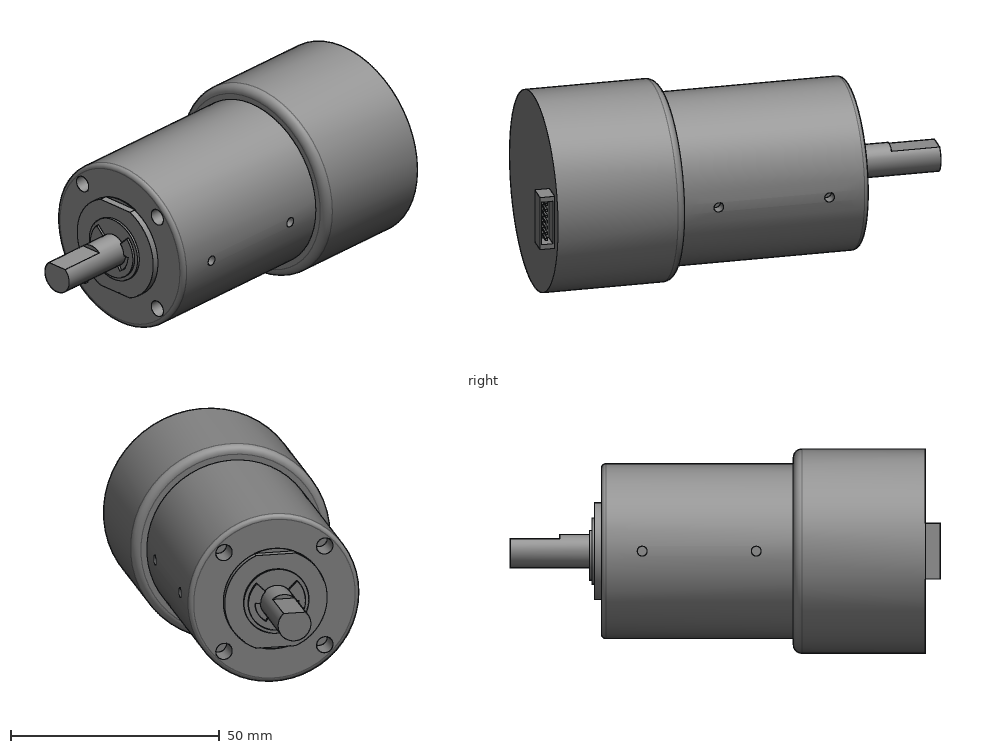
import cadquery as cq
import math


gearbox_diameter = 42.0
gearbox_length = 46.0
gearbox_edge_radius = 1.1
can_diameter = 49.0
can_length = 31.7
can_edge_radius = 2.1
can_back_y = gearbox_length + can_length

boss_diameter = 25.2
boss_across_flats = 23.2
boss_thickness = 1.6
boss_seat_depth = 0.2
washer_diameter = 16.0
washer_thickness = 0.6
clip_diameter = 14.0
clip_thickness = 0.6
clip_relief_diameter = 10.7
clip_mouth_angles = (45, 135)
clip_relief_angles = ((180, 240), (300, 360))

shaft_diameter = 8.0
shaft_length = 21.9
shaft_flat_length = 11.9
shaft_flat_height = 3.0

face_hole_diameter = 4.0
face_hole_spacing = 24.7
face_hole_depth = 6.2
side_hole_diameter = 2.4
side_hole_depth = 3.1
side_hole_front_y = 9.8
side_hole_pitch = 27.3

overall_length = 103.1
connector_depth = overall_length - shaft_length - can_back_y
connector_outer_x = -21.0
connector_width = 5.3
connector_height = 13.4
pocket_wall = 0.4
pocket_height = 10.9
pocket_depth = 4.1
pin_count = 7
pin_row_length = 9.0
pin_pitch = pin_row_length / (pin_count - 1)
pin_size = 0.5
pin_length = 3.5
pin_center_from_can = 1.9


def cylinder(diameter, start_y, length):
    """Cylinder on the Y axis running toward +Y from start_y."""
    base = cq.Workplane("XZ", origin=(0, start_y, 0))
    return base.circle(diameter / 2).extrude(-length)


def box(x_start, x_size, y_center, y_size, z_center, z_size):
    """Box that starts at x_start, centred on the given Y and Z."""
    center = (x_start + x_size / 2, y_center, z_center)
    return cq.Workplane("XY").box(x_size, y_size, z_size).translate(center)


def sector(diameter, start_y, length, start_angle, end_angle):
    """Pie-shaped slice around the Y axis, angles in degrees from +X toward +Z."""
    def rim(angle):
        turn = math.radians(angle)
        return (diameter / 2 * math.cos(turn), diameter / 2 * math.sin(turn))

    middle_angle = (start_angle + end_angle) / 2
    outline = (
        cq.Workplane("XZ", origin=(0, start_y, 0))
        .lineTo(*rim(start_angle))
        .threePointArc(rim(middle_angle), rim(end_angle))
        .close()
    )
    return outline.extrude(-length)


def make_housing():
    gearbox = cylinder(gearbox_diameter, 0, gearbox_length)
    gearbox = gearbox.faces("<Y").edges().fillet(gearbox_edge_radius)
    can = cylinder(can_diameter, gearbox_length, can_length)
    can = can.faces("<Y").edges().fillet(can_edge_radius)
    return gearbox.union(can)


def make_boss():
    """Flat-sided boss reaching down to the floor of its seat."""
    length = boss_thickness + boss_seat_depth
    disc = cylinder(boss_diameter, -boss_thickness, length)
    flats = box(-boss_diameter / 2, boss_diameter, 0, 2 * length, 0, boss_across_flats)
    return disc.intersect(flats)


def make_clip(front_y):
    """E-shaped clip, open at the top and hugging the shaft at three lands."""
    clip = cylinder(clip_diameter, front_y, clip_thickness)
    clip = clip.cut(sector(2 * clip_diameter, front_y, clip_thickness, *clip_mouth_angles))
    for angles in clip_relief_angles:
        clip = clip.cut(sector(clip_relief_diameter, front_y, clip_thickness, *angles))
    return clip


def make_shaft():
    shaft = cylinder(shaft_diameter, -shaft_length, shaft_length)
    above_flat = box(
        -shaft_diameter / 2, shaft_diameter,
        -shaft_length + shaft_flat_length / 2, shaft_flat_length,
        shaft_flat_height + shaft_diameter / 2, shaft_diameter,
    )
    return shaft.cut(above_flat)


def make_face_holes():
    return (
        cq.Workplane("XZ")
        .rect(face_hole_spacing, face_hole_spacing, forConstruction=True)
        .vertices()
        .circle(face_hole_diameter / 2)
        .extrude(-face_hole_depth)
    )


def make_side_holes():
    holes = cq.Workplane("XY")
    for y in (side_hole_front_y, side_hole_front_y + side_hole_pitch):
        for side in (-1, 1):
            start = cq.Workplane("YZ", origin=(side * gearbox_diameter / 2, y, 0))
            holes = holes.add(start.circle(side_hole_diameter / 2).extrude(-side * side_hole_depth))
    return holes.combine()


def make_connector():
    """Plug shell with one row of square pins in its pocket."""
    middle_y = can_back_y + connector_depth / 2
    shell = box(connector_outer_x, connector_width, middle_y, connector_depth, 0, connector_height)
    pocket_y_size = connector_depth - 2 * pocket_wall
    connector = shell.cut(box(connector_outer_x, pocket_depth, middle_y, pocket_y_size, 0, pocket_height))
    pin_x = connector_outer_x + pocket_depth - pin_length
    pin_y = can_back_y + pin_center_from_can
    for index in range(pin_count):
        pin_z = index * pin_pitch - pin_row_length / 2
        connector = connector.union(box(pin_x, pin_length, pin_y, pin_size, pin_z, pin_size))
    return connector


boss_seat = cylinder(boss_diameter, 0, boss_seat_depth)
washer_front_y = -boss_thickness - washer_thickness
washer = cylinder(washer_diameter, washer_front_y, washer_thickness)

result = make_housing().cut(boss_seat).cut(make_face_holes()).cut(make_side_holes())
result = result.union(make_boss()).union(washer)
result = result.union(make_clip(washer_front_y - clip_thickness))
result = result.union(make_shaft()).union(make_connector())